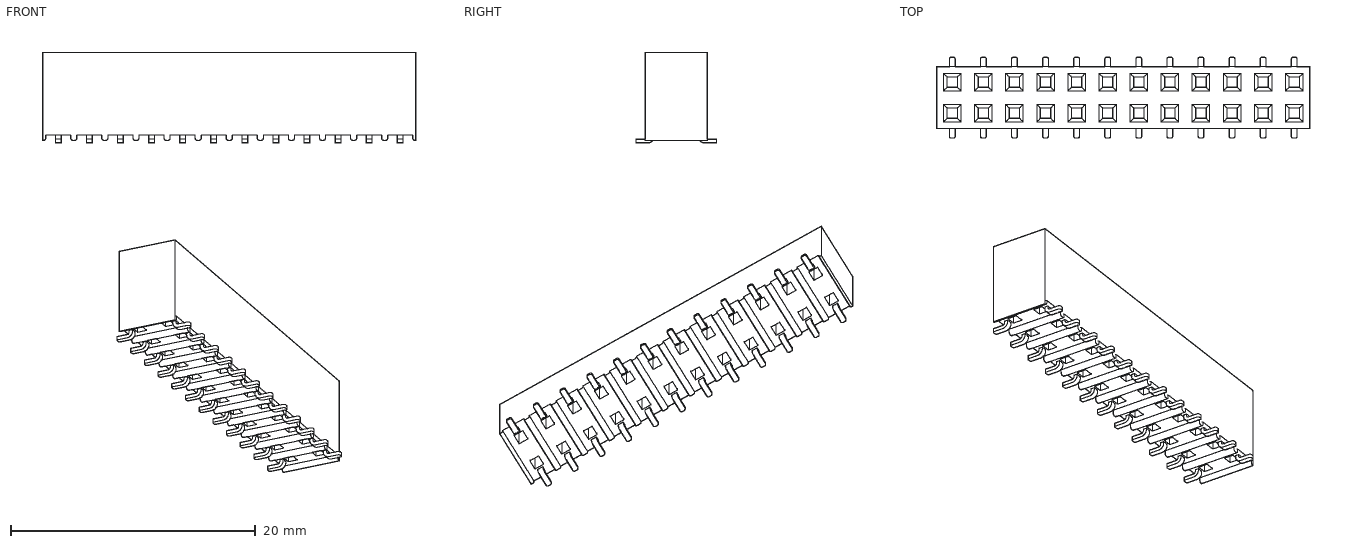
import cadquery as cq

columns = 12
body_length = 30.48
pitch = body_length / columns
rows = 2
body_width = rows * pitch

total_height = 7.4
standoff_base = 0.2
floor_height = 0.65

socket_width = 0.82
funnel_width = 1.43
funnel_depth = (funnel_width - socket_width) / 2

rib_width = 0.52
rib_edge_radius = 0.2

contact_span = 6.6
foot_reach = contact_span / 2
contact_width = 0.5
contact_thickness = 0.3
foot_tip_radius = 0.15
inner_bend_radius = 0.18
outer_bend_radius = inner_bend_radius + contact_thickness
leg_inner_y = 1.83
leg_embedment = 0.3

column_positions = [(i + 0.5) * pitch - body_length / 2 for i in range(columns)]
row_positions = [(j + 0.5) * pitch - body_width / 2 for j in range(rows)]
socket_positions = [(x, y) for x in column_positions for y in row_positions]


def make_body():
    """Housing block standing on round-edged ribs midway between columns and at both ends."""
    body = cq.Workplane("XY", origin=(0, 0, floor_height)).box(
        body_length, body_width, total_height - floor_height, centered=(True, True, False)
    )
    rib = (
        cq.Workplane("XY", origin=(0, 0, standoff_base))
        .box(rib_width, body_width, floor_height - standoff_base, centered=(True, True, False))
        .faces("<Z")
        .edges("|Y")
        .fillet(rib_edge_radius)
    )
    for i in range(columns + 1):
        body = body.union(rib.translate((i * pitch - body_length / 2, 0, 0)))
    envelope = cq.Workplane("XY").box(
        body_length, body_width, total_height, centered=(True, True, False)
    )
    return body.intersect(envelope)


def cut_sockets(body):
    """Square through sockets with a tapered lead-in at the top."""
    sockets = (
        cq.Workplane("XY")
        .pushPoints(socket_positions)
        .rect(socket_width, socket_width)
        .extrude(total_height)
    )
    funnel = (
        cq.Workplane("XY", origin=(0, 0, total_height - funnel_depth))
        .rect(socket_width, socket_width)
        .workplane(offset=funnel_depth)
        .rect(funnel_width, funnel_width)
        .loft(ruled=True)
    )
    body = body.cut(sockets)
    for x, y in socket_positions:
        body = body.cut(funnel.translate((x, y, 0)))
    return body


def make_contact():
    """Bent contact on the +Y side: a leg out of the housing floor turning into a flat foot."""
    leg_outer_y = leg_inner_y + contact_thickness
    bend_y = leg_inner_y + outer_bend_radius
    leg_top = floor_height + leg_embedment
    return (
        cq.Workplane("YZ")
        .moveTo(foot_reach, 0)
        .lineTo(bend_y, 0)
        .radiusArc((leg_inner_y, outer_bend_radius), outer_bend_radius)
        .lineTo(leg_inner_y, leg_top)
        .lineTo(leg_outer_y, leg_top)
        .lineTo(leg_outer_y, outer_bend_radius)
        .radiusArc((bend_y, contact_thickness), -inner_bend_radius)
        .lineTo(foot_reach, contact_thickness)
        .close()
        .extrude(contact_width / 2, both=True)
        .faces(">Y")
        .edges("|Z")
        .fillet(foot_tip_radius)
    )


result = cut_sockets(make_body())
contact = make_contact()
opposite_contact = contact.mirror("XZ")
for x in column_positions:
    result = result.union(contact.translate((x, 0, 0)))
    result = result.union(opposite_contact.translate((x, 0, 0)))